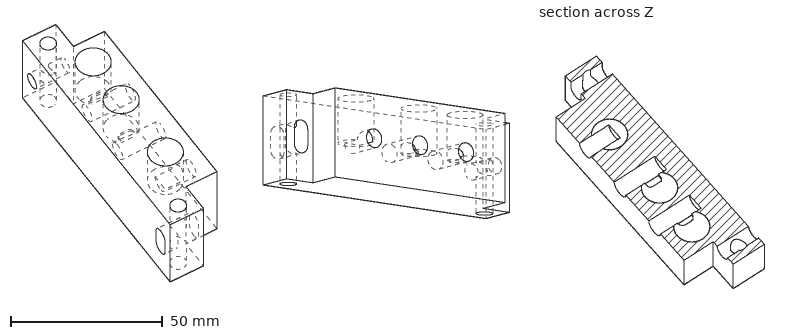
import cadquery as cq

length = 92.0
width = 25.0
height = 30.0
ear_length = 10.95
ear_width = 13.0
mid_x = length / 2
mid_z = height / 2

mount_diameter = 5.5
vertical_mount_inset = 5.5
vertical_mount_y = 6.5
cross_mount_inset = 6.0
slot_height = 11.0

bore_diameter = 11.9
bore_depth = height - mid_z

port_diameter = 6.3
port_pitch = 18.95
left_port_x = mid_x - port_pitch
right_port_x = mid_x + port_pitch
long_port_end_y = 8.3
short_port_end_y = 13.0

outer_bore_y = 15.0
middle_bore_y = 14.35
left_bore_offset = 7.1
middle_bore_offset = 7.5

recess_depth = 0.9
left_recess_length = 2.1
left_recess_width = 5.9
left_recess_radius = 1.9
middle_recess_length = 2.7
middle_recess_width = 5.6
middle_recess_radius = 1.2


def stepped_body():
    """Full front block plus the shorter block behind it."""
    front = cq.Workplane("XY").box(length, ear_width, height, centered=False)
    rear = (
        cq.Workplane("XY")
        .box(length - 2 * ear_length, width, height, centered=False)
        .translate((ear_length, 0, 0))
    )
    return front.union(rear)


def vertical_mount(x):
    """Round hole through an ear along Z."""
    return (
        cq.Workplane("XY")
        .center(x, vertical_mount_y)
        .circle(mount_diameter / 2)
        .extrude(height)
    )


def cross_mount_plane(x):
    """Front-face workplane centred at mid height; negative extrusions run toward the rear."""
    return cq.Workplane("XZ").center(x, mid_z)


def bore(x, y):
    """Flat-bottomed bore from the top face."""
    return (
        cq.Workplane("XY", origin=(x, y, height - bore_depth))
        .circle(bore_diameter / 2)
        .extrude(bore_depth)
    )


def port(x, end_y):
    """Flat-ended hole from the rear face."""
    return (
        cq.Workplane("XZ", origin=(x, width, mid_z))
        .circle(port_diameter / 2)
        .extrude(width - end_y)
    )


def floor_recess(port_x, y, recess_length, recess_width, corner_radius):
    """Recess from the port axis to beyond the port side, with two rounded corners."""
    reach = port_diameter / 2 + recess_length
    return (
        cq.Workplane("XY")
        .box(reach, recess_width, recess_depth, centered=(False, True, False))
        .edges("|Z and <X")
        .fillet(corner_radius)
        .translate((port_x - reach, y, mid_z - recess_depth))
    )


result = stepped_body()

for mount_x in (vertical_mount_inset, length - vertical_mount_inset):
    result = result.cut(vertical_mount(mount_x))

round_mount = cross_mount_plane(cross_mount_inset).circle(mount_diameter / 2).extrude(-width)
slotted_mount = (
    cross_mount_plane(length - cross_mount_inset)
    .slot2D(slot_height, mount_diameter, 90)
    .extrude(-width)
)
result = result.cut(round_mount).cut(slotted_mount)

result = result.cut(bore(left_port_x - left_bore_offset, outer_bore_y))
result = result.cut(bore(mid_x - middle_bore_offset, middle_bore_y))
result = result.cut(bore(right_port_x, outer_bore_y))

result = result.cut(port(left_port_x, long_port_end_y))
result = result.cut(port(mid_x, long_port_end_y))
result = result.cut(port(right_port_x, short_port_end_y))

result = result.cut(
    floor_recess(left_port_x, outer_bore_y, left_recess_length, left_recess_width, left_recess_radius)
)
result = result.cut(
    floor_recess(mid_x, middle_bore_y, middle_recess_length, middle_recess_width, middle_recess_radius)
)